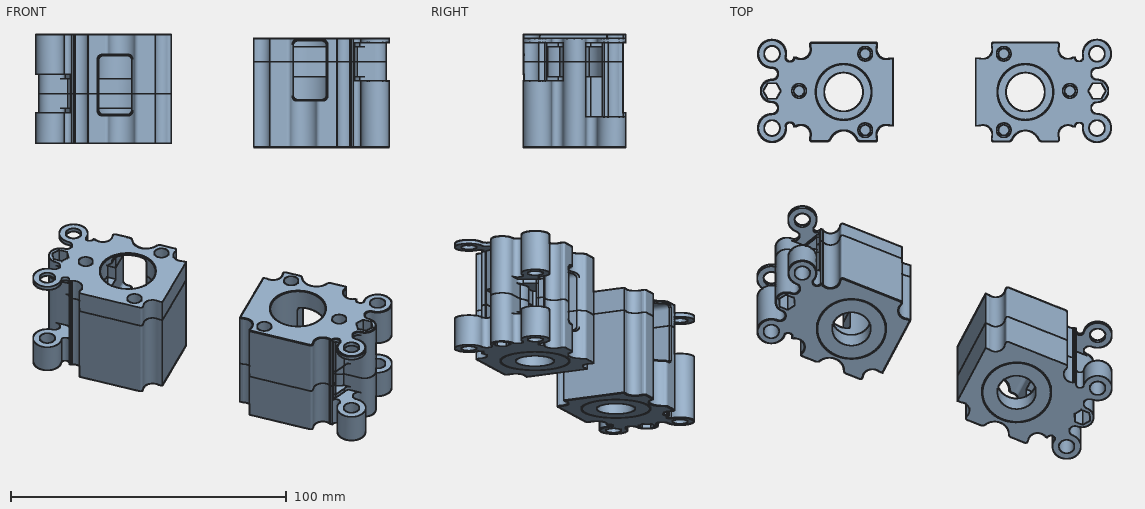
import cadquery as cq
import math

overall_length = 128.3
overall_width = 37.3
carriage_height = 39.6
left_base_z = 1.5
left_split_z = 19.6
right_split_z = 31.2

bore_x = 33.0
bore_y = -0.4
block_size = 36.0
half_block = block_size / 2
corner_inset = 5.8
corner_relief_offset = 15.46
corner_relief_radius = 3.4
block_edge_radius = 0.8
groove_radius = 5.1
groove_depth = 4.0
groove_edge_radius = 1.5
rim_chamfer = 0.3

lug_radius = 5.2
lug_hole_diameter = 5.6
lug_x = bore_x - overall_length / 2 + lug_radius
lug_y = overall_width / 2 - lug_radius
thin_lug_height = 1.5
lower_lug_height = 11.2
post_radius = 4.17
hex_across_corners = 6.35
trough_radius = 1.48
trough_y = 12.64
web_overlap = 1.2
inlet_radius = (lug_y - lug_radius - post_radius) / 2
inlet_y = post_radius + inlet_radius
lug_gap_half_height = 6.9
gap_root_x = -22.1
gap_root_radius = 1.7
gap_wall_end_x = -18.6
gap_wall_depth_y = 10.71

bore_diameter = 20.0
bore_chamfer = 0.3
slot_width = 20.3
slot_half_height = 5.4
slot_end_x = -1.2
boss_radius = 5.4
ring_outer_diameter = 24.6
ring_inner_diameter = 14.0
ring_pocket_diameter = 25.3
ring_height = 7.7
window_left = -8.3
window_right = 3.7
window_long = 13.7
window_short = 7.6
window_corner_radius = 1.5
window_chamfer = 0.5
screw_clearance_diameter = 5.3
screw_pilot_diameter = 3.8
screw_floor = 2.6
front_screw_x = -16.2
rear_screw_x = 7.8
rear_screw_y = 13.9
margin = 1.3


def cylinder(x, y, diameter, z_low, z_high):
    return cq.Workplane("XY", origin=(x, y, z_low)).circle(diameter / 2).extrude(z_high - z_low)


def box(x_low, x_high, y_low, y_high, z_low, z_high):
    return cq.Workplane("XY", origin=(x_low, y_low, z_low)).box(
        x_high - x_low, y_high - y_low, z_high - z_low, centered=False)


def make_block(bottom, top):
    """Square block with notched corners and a groove down its -Y face."""
    block = box(-half_block, half_block, bore_y - half_block, bore_y + half_block, bottom, top)
    notch_start = half_block - corner_inset
    beyond = half_block + margin
    for x_side in (-1, 1):
        for y_side in (-1, 1):
            for x_from, y_from in ((notch_start, corner_relief_offset), (corner_relief_offset, notch_start)):
                xs = sorted((x_side * x_from, x_side * beyond))
                ys = sorted((bore_y + y_side * y_from, bore_y + y_side * beyond))
                block = block.cut(box(*xs, *ys, bottom, top))
    for face in (">Y", "<Y"):
        block = block.faces(face).edges("|Z").fillet(block_edge_radius)
    groove_axis_y = bore_y - half_block + groove_depth - groove_radius
    block = block.cut(cylinder(0, groove_axis_y, 2 * groove_radius, bottom, top))
    groove_edges = cq.selectors.BoxSelector(
        (-groove_radius, bore_y - half_block - margin, bottom - margin),
        (groove_radius, bore_y - half_block + margin / 2, top + margin))
    return block.edges("|Z").edges(groove_edges).fillet(groove_edge_radius)


def corner_reliefs(bottom, top):
    """Four round cutters, one in each notched corner of the block."""
    reliefs = cq.Workplane("XY", origin=(0, bore_y, bottom))
    reliefs = reliefs.rect(2 * corner_relief_offset, 2 * corner_relief_offset, forConstruction=True)
    return reliefs.vertices().circle(corner_relief_radius).extrude(top - bottom)


def make_web(bottom, top):
    """Web with two lugs and a nut post, before the lug gaps are cut."""
    web = box(
        lug_x, web_overlap - half_block, bore_y - trough_y, bore_y + trough_y, bottom, top)
    trough_x = -half_block - trough_radius
    for side in (-1, 1):
        web = web.cut(cylinder(trough_x, bore_y + side * trough_y, 2 * trough_radius, bottom, top))
    for side in (-1, 1):
        web = web.union(cylinder(lug_x, side * lug_y, 2 * lug_radius, bottom, top))
    web = web.union(cylinder(lug_x, 0, 2 * post_radius, bottom, top))
    for side in (-1, 1):
        web = web.cut(cylinder(lug_x, side * inlet_y, 2 * inlet_radius, bottom, top))
    return web


def lug_gap(side, z_low, z_high):
    """Cutter that frees one lug from the post and the block over a height range."""
    outer_y = overall_width
    far_x = lug_x - 2 * lug_radius
    diagonal = gap_root_radius * math.sqrt(0.5)
    round_y = post_radius + gap_root_radius
    profile = cq.Workplane("XY", origin=(0, 0, z_low)).moveTo(far_x, side * post_radius)
    profile = profile.lineTo(gap_root_x, side * post_radius)
    profile = profile.threePointArc(
        (gap_root_x + diagonal, side * (round_y - diagonal)),
        (gap_root_x + gap_root_radius, side * round_y))
    profile = profile.lineTo(gap_wall_end_x, side * slot_width / 2)
    profile = profile.lineTo(-half_block, side * gap_wall_depth_y)
    profile = profile.lineTo(-half_block, side * outer_y).lineTo(far_x, side * outer_y).close()
    return profile.extrude(z_high - z_low)


def coupling_slot():
    """Slot from the bore out through the web, leaving a fin along the middle."""
    half = slot_width / 2
    low, high = -slot_half_height, slot_half_height
    slot = cylinder(slot_end_x, 0, slot_width, low, high)
    slot = slot.union(box(lug_x, slot_end_x, -half, half, low, high))
    fin = box(lug_x, 0, -post_radius, post_radius, low, high)
    boss = cylinder(front_screw_x, 0, 2 * boss_radius, low, high)
    post = cylinder(lug_x, 0, 2 * post_radius, low, high)
    bore = cylinder(0, bore_y, bore_diameter, low, high)
    return slot.cut(fin).cut(boss).cut(post).union(bore)


def cut_window(body, z_low, z_high):
    """Open a rounded window from the -Y face to the bore and chamfer its outer rim."""
    cutter = box(window_left, window_right, bore_y - half_block - margin, bore_y, z_low, z_high)
    body = body.cut(cutter.edges("|Y").fillet(window_corner_radius))
    reach = 0.1
    rim = cq.selectors.BoxSelector(
        (window_left - reach, bore_y - half_block - reach, z_low - reach),
        (window_right + reach, bore_y - half_block + groove_depth + reach, z_high + reach),
        boundingbox=True)
    return body.edges(rim).chamfer(window_chamfer)


def make_carriage(bottom, top, window_low, window_high, near_gap_top, rim):
    """Whole carriage with lugs towards -X, bore axis at X = 0 and joint at Z = 0."""
    body = make_block(bottom, top).union(make_web(bottom, top))
    body = body.cut(corner_reliefs(bottom, top))
    body = body.faces(rim).edges().chamfer(rim_chamfer)
    body = cut_window(body, window_low, window_high)
    body = body.cut(lug_gap(-1, -lug_gap_half_height, near_gap_top))
    body = body.cut(lug_gap(1, bottom + lower_lug_height, top - thin_lug_height))
    body = body.cut(cylinder(0, bore_y, bore_diameter, bottom + ring_height, top))
    bore_mouth = cq.Solid.makeCone(
        bore_diameter / 2, bore_diameter / 2 + bore_chamfer, bore_chamfer,
        cq.Vector(0, bore_y, top - bore_chamfer))
    body = body.cut(cq.Workplane(bore_mouth))
    body = body.cut(cylinder(0, bore_y, ring_pocket_diameter, bottom, bottom + ring_height))
    body = body.cut(coupling_slot())
    for side in (-1, 1):
        body = body.cut(cylinder(lug_x, side * lug_y, lug_hole_diameter, bottom, top))
    nut_hole = cq.Workplane("XY", origin=(lug_x, 0, bottom)).polygon(6, hex_across_corners)
    body = body.cut(nut_hole.extrude(top - bottom))
    screw_places = [(front_screw_x, 0)]
    screw_places += [(rear_screw_x, bore_y + side * rear_screw_y) for side in (-1, 1)]
    for x, y in screw_places:
        body = body.cut(cylinder(x, y, screw_clearance_diameter, 0, top))
        body = body.cut(cylinder(x, y, screw_pilot_diameter, bottom + screw_floor, 0))
    return body


def split(body, bottom, top):
    """Lower and upper half of a carriage, parted at the joint."""
    reach = overall_length
    lower = body.intersect(box(-reach, reach, -reach, reach, bottom - margin, 0))
    upper = body.intersect(box(-reach, reach, -reach, reach, 0, top + margin))
    return lower, upper


def make_ring(bottom):
    """Plain ring in the pocket at the foot of the bore."""
    ring = cylinder(0, bore_y, ring_outer_diameter, bottom, bottom + ring_height)
    return ring.cut(cylinder(0, bore_y, ring_inner_diameter, bottom, bottom + ring_height))


left_bottom = left_base_z - left_split_z
left_top = left_bottom + carriage_height
left = make_carriage(left_bottom, left_top, -window_short, window_long, lug_gap_half_height, ">Z")
left_parts = [*split(left, left_bottom, left_top), make_ring(left_bottom)]

right_bottom = -right_split_z
right_top = right_bottom + carriage_height
right = make_carriage(
    right_bottom, right_top, -window_long, window_short, right_top - thin_lug_height, "<Z")
right_parts = [*split(right, right_bottom, right_top), make_ring(right_bottom)]

solids = []
for part in left_parts:
    solids.append(part.translate((-bore_x, 0, left_split_z)).val())
for part in right_parts:
    solids.append(part.mirror("YZ").translate((bore_x, 0, right_split_z)).val())

result = cq.Compound.makeCompound(solids)